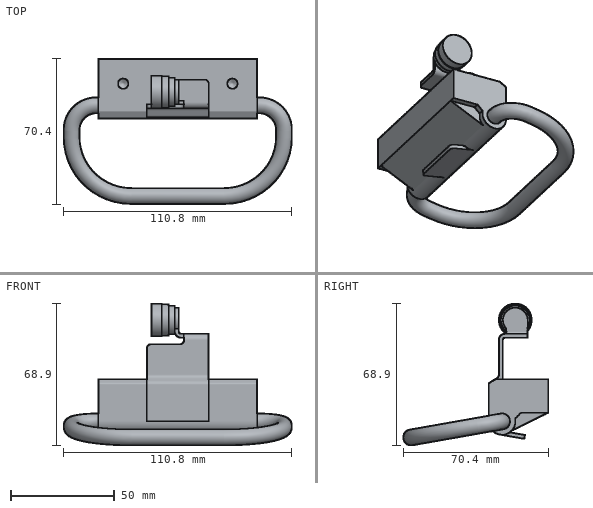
import cadquery as cq
import math


body_length = 77.0
body_back = 22.5
body_top = 20.55
body_rear_bottom = 4.25
barrel_radius = 6.5
web_inset = 3.0
notch_chamfer = 2.75
front_slope = 30.0
slope_start = -2.95
slope_blend = 1.0

hole_diameter = 5.0
hole_spacing = 53.0
hole_from_back = 12.0
hole_depth = 12.0
drill_tip_angle = 118.0

sheet = 2.0
latch_width = 30.0
latch_setback = 0.65
plate_front = -1.55
plate_back = plate_front + sheet
latch_slope_top = 21.5
latch_blend = 2.0
shoulder_z = 37.5
shoulder_x = 3.0
flange_top = 42.55
bend_inner = 1.0
bend_outer = bend_inner + sheet
corner_radius = 2.0

tail_reach = 12.2
tail_angle = 10.0

lug_radius = 6.0
knob_y = plate_back + lug_radius
knob_z = 49.2
flange_back = knob_y + lug_radius
lug_outer_x = -1.45
lug_front = 2.1
knob_steps = [(14.0, 3.0), (15.5, 3.4), (16.0, 5.0)]

rod_diameter = 7.8
handle_half_width = 51.5
handle_reach = 44.7
small_bend = 12.0
large_bend = 29.0
handle_tilt = 10.0

overlap = 1.0
slope_rise = math.tan(math.radians(front_slope))
diagonal = math.sqrt(0.5)


def extrude_centred(sketch_yz, width):
    """Extrude an outline drawn in the YZ plane symmetrically along X."""
    return sketch_yz.extrude(width / 2, both=True)


def box_between(x0, x1, y0, y1, z0, z1):
    return cq.Workplane("XY").box(x1 - x0, y1 - y0, z1 - z0, centered=False).translate((x0, y0, z0))


def make_body():
    slope_end_z = body_top - (slope_start + barrel_radius) * slope_rise
    outline = (
        cq.Workplane("YZ")
        .moveTo(body_back, body_rear_bottom)
        .lineTo(body_back, body_top)
        .lineTo(slope_start, body_top)
        .lineTo(-barrel_radius, slope_end_z)
        .lineTo(-barrel_radius, 0)
        .threePointArc((0, -barrel_radius), (barrel_radius, 0))
        .lineTo(barrel_radius, body_rear_bottom - notch_chamfer)
        .lineTo(barrel_radius + notch_chamfer, body_rear_bottom)
        .close()
    )
    block = extrude_centred(outline, body_length)
    for y, z in [(slope_start, body_top), (-barrel_radius, slope_end_z)]:
        block = block.edges(cq.selectors.NearestToPointSelector((0, y, z))).fillet(slope_blend)
    return block


def make_web():
    """Wedge under the block, from the rear edge down to the barrel, set in from both ends."""
    outline = cq.Workplane("YZ").polyline([
        (body_back, body_rear_bottom),
        (barrel_radius * diagonal, -barrel_radius * diagonal),
        (0, 0),
        (0, body_rear_bottom),
    ]).close()
    return extrude_centred(outline, body_length - 2 * web_inset)


def make_mounting_hole(x):
    radius = hole_diameter / 2
    tip = radius / math.tan(math.radians(drill_tip_angle / 2))
    profile = cq.Workplane("XZ").polyline([
        (0, 0),
        (radius, 0),
        (radius, -hole_depth),
        (0, -hole_depth - tip),
    ]).close()
    drill = profile.revolve(360, (0, 0), (0, 1))
    return drill.translate((x, body_back - hole_from_back, body_top))


def make_latch_recess():
    """Pocket in the block front that takes the foot of the latch."""
    return box_between(
        -latch_width / 2, latch_width / 2,
        -barrel_radius - overlap, plate_back,
        0, body_top + overlap,
    )


def make_latch_plate():
    foot_front = latch_setback - barrel_radius
    bend_start_y = plate_front + bend_outer
    bend_start_z = flange_top - bend_outer
    slope_bottom_z = latch_slope_top - (plate_front - foot_front) * slope_rise
    outline = (
        cq.Workplane("YZ")
        .moveTo(plate_back, 0)
        .lineTo(foot_front, 0)
        .lineTo(foot_front, slope_bottom_z)
        .lineTo(plate_front, latch_slope_top)
        .lineTo(plate_front, bend_start_z)
        .radiusArc((bend_start_y, flange_top), bend_outer)
        .lineTo(flange_back, flange_top)
        .lineTo(flange_back, flange_top - sheet)
        .lineTo(bend_start_y, flange_top - sheet)
        .radiusArc((plate_back, bend_start_z), -bend_inner)
        .close()
    )
    plate = extrude_centred(outline, latch_width)
    for y, z in [(foot_front, slope_bottom_z), (plate_front, latch_slope_top)]:
        plate = plate.edges(cq.selectors.NearestToPointSelector((0, y, z))).fillet(latch_blend)

    low_side = box_between(
        -latch_width / 2 - overlap, shoulder_x,
        plate_front - overlap, flange_back + overlap,
        shoulder_z, flange_top + overlap,
    )
    plate = plate.cut(low_side)
    plate_middle = plate_front + sheet / 2
    for x, y, z in [
        (-latch_width / 2, plate_middle, shoulder_z),
        (shoulder_x, plate_middle, shoulder_z),
        (latch_width / 2, flange_back, flange_top - sheet / 2),
    ]:
        plate = plate.edges(cq.selectors.NearestToPointSelector((x, y, z))).fillet(corner_radius)
    return plate


def make_lug():
    """Upright lug bent up from the flange, rounded about the knob axis."""
    lug_inner_x = lug_outer_x + sheet
    bend_end_x = lug_outer_x + bend_outer
    flange_bottom = flange_top - sheet
    bend_end_z = flange_bottom + bend_outer
    lug_top = knob_z + lug_radius + overlap
    strip = (
        cq.Workplane("XZ")
        .moveTo(lug_outer_x, lug_top)
        .lineTo(lug_outer_x, bend_end_z)
        .radiusArc((bend_end_x, flange_bottom), -bend_outer)
        .lineTo(shoulder_x, flange_bottom)
        .lineTo(shoulder_x, flange_top)
        .lineTo(bend_end_x, flange_top)
        .radiusArc((lug_inner_x, bend_end_z), bend_inner)
        .lineTo(lug_inner_x, lug_top)
        .close()
        .extrude(-flange_back)
    )
    head = cq.Workplane("YZ").center(knob_y, knob_z).circle(lug_radius)
    head = extrude_centred(head, latch_width)
    stem = box_between(
        -latch_width / 2, latch_width / 2,
        lug_front, flange_back,
        flange_bottom, knob_z,
    )
    return strip.intersect(head.union(stem))


def make_knob():
    """Stepped knob growing outwards from the lug towards -X."""
    knob = cq.Workplane("YZ")
    start_x = lug_outer_x
    for diameter, length in knob_steps:
        seat = cq.Workplane("YZ", origin=(start_x, knob_y, knob_z))
        knob = knob.add(seat.circle(diameter / 2).extrude(-length))
        start_x -= length
    return knob.combine()


def make_tail():
    """Flat tongue tangent to the underside of the barrel."""
    tail = box_between(
        -latch_width / 2, latch_width / 2,
        0, tail_reach,
        -barrel_radius, sheet - barrel_radius,
    )
    tail = tail.edges("|Z and >Y").fillet(corner_radius)
    return tail.rotate((0, 0, 0), (1, 0, 0), -tail_angle)


def make_handle():
    grip_end = handle_half_width - large_bend
    pivot_end = handle_half_width - small_bend
    stub_end = body_length / 2 - overlap
    large_start = large_bend - handle_reach
    path = cq.Workplane("XY").moveTo(-stub_end, 0).lineTo(-pivot_end, 0)
    path = (
        path.radiusArc((-handle_half_width, -small_bend), -small_bend)
        .lineTo(-handle_half_width, large_start)
        .radiusArc((-grip_end, -handle_reach), -large_bend)
        .lineTo(grip_end, -handle_reach)
        .radiusArc((handle_half_width, large_start), -large_bend)
        .lineTo(handle_half_width, -small_bend)
        .radiusArc((pivot_end, 0), -small_bend)
        .lineTo(stub_end, 0)
    )
    section = cq.Workplane("YZ", origin=(-stub_end, 0, 0)).circle(rod_diameter / 2)
    return section.sweep(path).rotate((0, 0, 0), (1, 0, 0), handle_tilt)


body = make_body().union(make_web()).cut(make_latch_recess())
for side in (-1, 1):
    body = body.cut(make_mounting_hole(side * hole_spacing / 2))

result = body
for piece in (make_latch_plate(), make_lug(), make_knob(), make_tail(), make_handle()):
    result = result.union(piece)